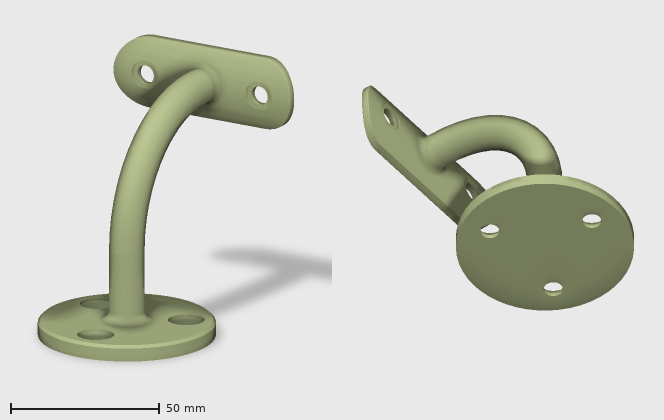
import cadquery as cq

flange_diameter = 60.0
flange_thickness = 5.5
flange_chamfer = 1.0

screw_hole_diameter = 6.5
flange_hole_count = 3
flange_hole_circle_radius = 20.0
first_flange_hole_angle = -90
countersink_diameter = 12.5
countersink_rim_depth = 1.0
countersink_cone_depth = (countersink_diameter - screw_hole_diameter) / 2

total_height = 87.5
saddle_length = 70
saddle_height = 25.0
saddle_thickness = 2.7
saddle_edge_fillet = 0.3
rail_radius = 21.2
saddle_back_y = 48.3
saddle_recess_diameter = 10.15
saddle_recess_depth = 0.5
saddle_end_radius = saddle_height / 2
saddle_hole_x = saddle_length / 2 - saddle_end_radius
saddle_outer_radius = rail_radius + saddle_thickness
rail_axis_y = saddle_back_y + saddle_outer_radius
rail_axis_z = total_height - saddle_height / 2

arm_diameter = 12.0
bend_start_z = 30.0
bend_radius = rail_axis_z - bend_start_z
flange_fillet = 3.0
saddle_fillet = 2.0


def make_flange():
    disc = cq.Workplane("XY").circle(flange_diameter / 2).extrude(flange_thickness)
    return disc.faces(">Z").edges().chamfer(flange_chamfer)


def make_arm():
    """Sweep the round bar from inside the flange to inside the saddle plate."""
    arm_end_y = saddle_back_y + saddle_thickness / 2
    path = (
        cq.Workplane("YZ")
        .moveTo(0, flange_thickness / 2)
        .lineTo(0, bend_start_z)
        .radiusArc((bend_radius, rail_axis_z), bend_radius)
        .lineTo(arm_end_y, rail_axis_z)
    )
    start = cq.Workplane("XY", origin=(0, 0, flange_thickness / 2))
    return start.circle(arm_diameter / 2).sweep(path)


def make_saddle():
    """Trim a tube wall around the rail axis to a round-ended outline and soften its rims."""
    tube = (
        cq.Workplane("YZ")
        .center(rail_axis_y, rail_axis_z)
        .circle(saddle_outer_radius)
        .circle(rail_radius)
        .extrude(saddle_length / 2, both=True)
    )
    outline = (
        cq.Workplane("XZ", origin=(0, rail_axis_y, rail_axis_z))
        .slot2D(saddle_length, saddle_height)
        .extrude(rail_axis_y)
    )
    plate = tube.intersect(outline)
    return plate.edges("not |Y").fillet(saddle_edge_fillet)


def make_flange_holes():
    """Revolved cutters for the countersunk holes in the flange."""
    hole_radius = screw_hole_diameter / 2
    sink_radius = countersink_diameter / 2
    rim_bottom_z = flange_thickness - countersink_rim_depth
    cone_bottom_z = rim_bottom_z - countersink_cone_depth
    cutter = (
        cq.Workplane("XZ")
        .polyline([
            (0, 0),
            (hole_radius, 0),
            (hole_radius, cone_bottom_z),
            (sink_radius, rim_bottom_z),
            (sink_radius, flange_thickness),
            (0, flange_thickness),
        ])
        .close()
        .revolve(360, (0, 0, 0), (0, 1, 0))
        .val()
    )
    return (
        cq.Workplane("XY")
        .polarArray(flange_hole_circle_radius, first_flange_hole_angle, 360, flange_hole_count)
        .eachpoint(lambda place: cutter.moved(place), combine=False)
    )


def make_saddle_holes():
    """Through holes in the saddle with a shallow screw-head recess on the arm side."""
    centres = [(-saddle_hole_x, 0), (saddle_hole_x, 0)]

    def cylinders(start_y, diameter):
        start = cq.Workplane("XZ", origin=(0, start_y, rail_axis_z)).pushPoints(centres)
        return start.circle(diameter / 2).extrude(start_y - saddle_back_y)

    recesses = cylinders(saddle_back_y + saddle_recess_depth, saddle_recess_diameter)
    holes = cylinders(rail_axis_y, screw_hole_diameter)
    return recesses.union(holes)


body = make_flange().union(make_arm()).union(make_saddle())

joint_reach = 0.6 * arm_diameter
joint_margin = 0.1
flange_joint = cq.selectors.BoxSelector(
    (-joint_reach, -joint_reach, flange_thickness - joint_margin),
    (joint_reach, joint_reach, flange_thickness + joint_margin),
    boundingbox=True,
)
saddle_joint = cq.selectors.BoxSelector(
    (-joint_reach, saddle_back_y - joint_margin, rail_axis_z - joint_reach),
    (joint_reach, saddle_back_y + saddle_thickness / 2, rail_axis_z + joint_reach),
    boundingbox=True,
)
body = body.edges(flange_joint).fillet(flange_fillet)
body = body.edges(saddle_joint).fillet(saddle_fillet)

result = body.cut(make_flange_holes()).cut(make_saddle_holes())